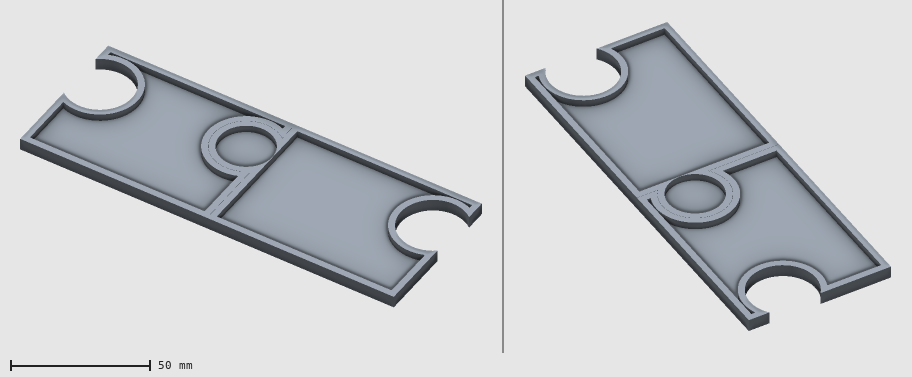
import cadquery as cq

total_length = 158.1
tile_width = 59.0
tile_height = 5.0

tile_gap = 0.1
tile_length = (total_length - tile_gap) / 2

wall = 2.5
pocket_depth = 3.0
floor_height = tile_height - pocket_depth

notch_diameter = 27.2
tab_diameter = notch_diameter - 2 * tile_gap
tab_bore_diameter = 22.0
notch_inset = 8.5
notch_from_back = 19.1
notch_y = tile_width - notch_from_back
rim_diameter = notch_diameter + 2 * wall

left_tile_start = 0.0
right_tile_start = tile_length + tile_gap
left_notch_x = left_tile_start + notch_inset
joint_notch_x = left_tile_start + tile_length - notch_inset
right_notch_x = total_length - notch_inset


def disc(diameter, center_x, bottom_z):
    """Disc on the notch centre line, from bottom_z to the tile top."""
    return (
        cq.Workplane("XY", origin=(center_x, notch_y, bottom_z))
        .circle(diameter / 2)
        .extrude(tile_height - bottom_z)
    )


def make_tray(start_x, notch_centers):
    """Shallow tray with a rimmed round notch at each given X position."""
    tray = cq.Workplane("XY", origin=(start_x, 0, 0)).box(
        tile_length, tile_width, tile_height, centered=False
    )
    pocket = cq.Workplane("XY", origin=(start_x + wall, wall, floor_height)).box(
        tile_length - 2 * wall, tile_width - 2 * wall, pocket_depth, centered=False
    )
    for center_x in notch_centers:
        pocket = pocket.cut(disc(rim_diameter, center_x, floor_height))
    tray = tray.cut(pocket)
    for center_x in notch_centers:
        tray = tray.cut(disc(notch_diameter, center_x, 0))
    return tray


def make_tabbed_tray():
    """Tray with a notch at one end and a recessed round tab at the other."""
    tray = make_tray(right_tile_start, [right_notch_x])
    tray_pocket_start = right_tile_start + wall
    tab_limit = cq.Workplane("XY").box(tray_pocket_start, tile_width, tile_height, centered=False)
    tab = disc(tab_diameter, joint_notch_x, 0).intersect(tab_limit)
    tab_recess = disc(tab_bore_diameter, joint_notch_x, floor_height)
    return tray.union(tab).cut(tab_recess)


notched_tray = make_tray(left_tile_start, [left_notch_x, joint_notch_x])
tabbed_tray = make_tabbed_tray()

result = cq.Compound.makeCompound([notched_tray.solids().val(), tabbed_tray.solids().val()])